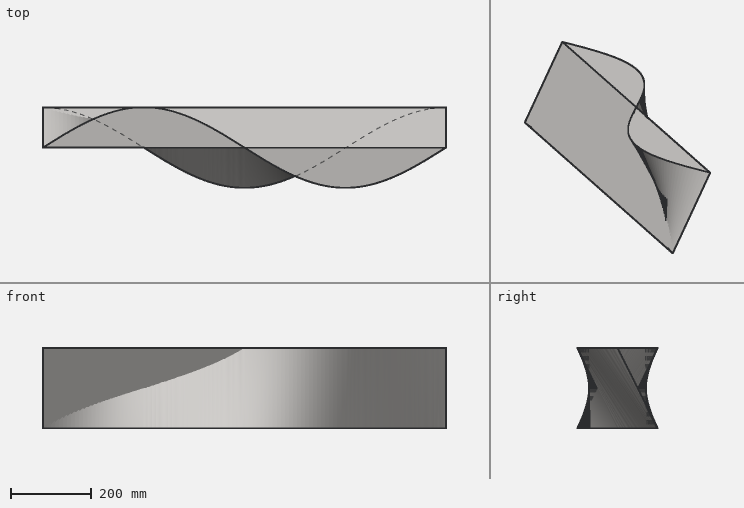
import cadquery as cq
import math

LENGTH = 1000.0
HEIGHT = 200.0
AMPLITUDE = 100.0
FACETS = 100


def wave_points(phase, z):
    """Points along one sine period at height z, starting at the given phase."""
    points = []
    for i in range(FACETS + 1):
        fraction = i / FACETS
        y = AMPLITUDE * math.sin(2 * math.pi * fraction + phase)
        points.append(cq.Vector(LENGTH * fraction, y, z))
    return points


def polygon_face(points):
    """Flat face bounded by the closed polygon through the points."""
    return cq.Face.makeFromWires(cq.Wire.makePolygon(points, close=True))


def wavy_side(bottom, top):
    """One twisted strip between each pair of opposite wave segments."""
    strips = []
    for i in range(FACETS):
        bottom_edge = cq.Edge.makeLine(bottom[i], bottom[i + 1])
        top_edge = cq.Edge.makeLine(top[i], top[i + 1])
        strips.append(cq.Face.makeRuledSurface(bottom_edge, top_edge))
    return strips


bottom_wave = wave_points(math.pi / 2, 0)
top_wave = wave_points(0, HEIGHT)
middle = FACETS // 2

bottom_face = polygon_face(bottom_wave)

top_lobes = [
    polygon_face(top_wave[: middle + 1]),
    polygon_face(top_wave[middle:]),
]

flat_side = polygon_face(
    [bottom_wave[0], bottom_wave[-1], top_wave[-1], top_wave[middle], top_wave[0]]
)

faces = [bottom_face, flat_side] + top_lobes + wavy_side(bottom_wave, top_wave)
result = cq.Workplane(cq.Solid.makeSolid(cq.Shell.makeShell(faces)))